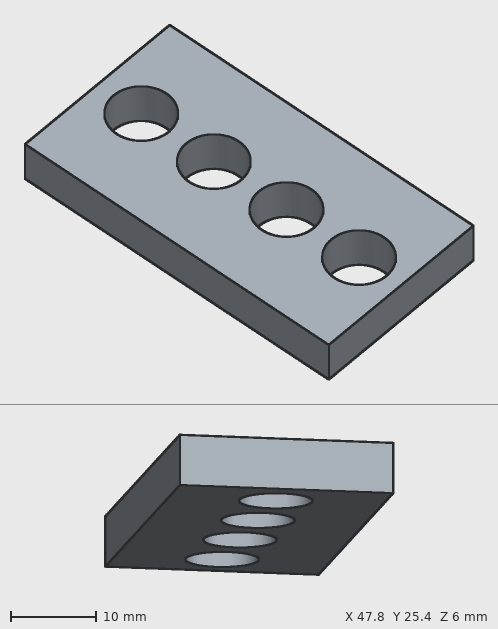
import cadquery as cq

length = 47.75
width = 25.4
thickness = 6.0

hole_count = 4
hole_diameter = 8.65
hole_pitch = 11.4
row_offset_x = 0.15

plate = cq.Workplane("XY").box(length, width, thickness)

result = (
    plate.faces(">Z")
    .workplane(origin=(row_offset_x, 0, 0))
    .rarray(hole_pitch, 0.5, hole_count, 1)
    .hole(hole_diameter)
)